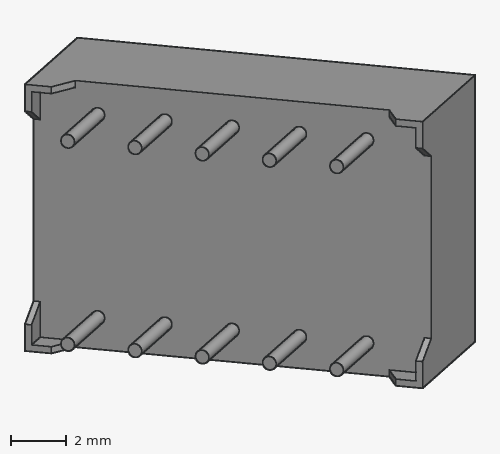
import cadquery as cq
import math

width = 15.02
height = 10.0
overall_depth = 8.6
body_depth = 5.1

foot_height = 1.0
foot_tip_length = 1.0
foot_wall = 0.25
foot_slope_angle = 30.0
foot_root_length = foot_tip_length + foot_height * math.tan(math.radians(foot_slope_angle))

pin_diameter = 0.51
pin_pitch = 2.54
pin_row_spacing = 7.62
pins_per_row = 5
pin_rows = 2

pin_face_y = overall_depth - body_depth
foot_tip_y = pin_face_y - foot_height


def make_housing():
    return cq.Workplane("XY").box(width, body_depth, height).translate((0, pin_face_y + body_depth / 2, 0))


def make_foot_profile(plane, outer_edge):
    """Trapezoid starting at the block's outer edge, narrowing from root to tip."""
    return (
        cq.Workplane(plane)
        .moveTo(outer_edge, pin_face_y)
        .lineTo(outer_edge, foot_tip_y)
        .lineTo(outer_edge + foot_tip_length, foot_tip_y)
        .lineTo(outer_edge + foot_root_length, pin_face_y)
        .close()
    )


def make_foot():
    """Foot at the -X, -Z corner: one wall along X and one along Z."""
    wall_along_x = make_foot_profile("XY", -width / 2).extrude(foot_wall)
    wall_along_x = wall_along_x.translate((0, 0, -height / 2))
    wall_along_z = make_foot_profile("ZY", -height / 2).extrude(-foot_wall)
    wall_along_z = wall_along_z.translate((-width / 2, 0, 0))
    return wall_along_x.union(wall_along_z)


def make_pins():
    return (
        cq.Workplane("XZ")
        .rarray(pin_pitch, pin_row_spacing, pins_per_row, pin_rows)
        .circle(pin_diameter / 2)
        .extrude(-pin_face_y)
    )


foot = make_foot()
foot_pair = foot.union(foot.mirror("YZ"))
feet = foot_pair.union(foot_pair.mirror("XY"))

result = make_housing().union(feet).union(make_pins())